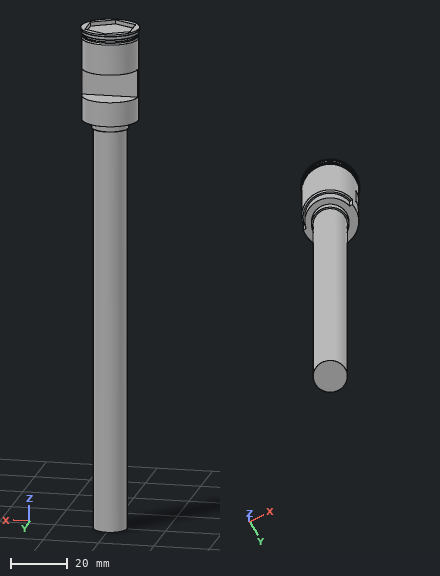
import cadquery as cq

total_length = 184.0
rim_radius = 10.5
body_radius = 10.1
shaft_radius = 6.0
shoulder_radius = 6.6
shoulder_height = 3.0

head_height = 33.9
head_bottom = total_length - head_height
relief_radius = 9.0
relief_height = 4.5
relief_edge_y = -1.8
rim_height = 0.7
neck_height = 1.3
groove_radius = 9.8
upper_groove_height = 0.2
collar_cone_height = 0.5
lower_groove_height = 0.5
body_chamfer_height = 0.5
relief_chamfer = 0.5

notch_bottom = head_bottom + 8.8
notch_height = 10.1
notch_floor_y = 0.7

hex_across_corners = 18.8
hex_depth = 1.5


def cylinder(radius, bottom, height):
    return cq.Workplane("XY").workplane(offset=bottom).circle(radius).extrude(height)


def rear_block(front_y, bottom, height):
    """Block behind the plane Y = front_y, wider than the head."""
    width = 3 * rim_radius
    return (
        cq.Workplane("XY")
        .box(width, width, height, centered=(True, False, False))
        .translate((0, front_y, bottom))
    )


shaft = cylinder(shaft_radius, 0, head_bottom)
shoulder = cylinder(shoulder_radius, head_bottom - shoulder_height, shoulder_height)

rim_bottom = total_length - rim_height
neck_bottom = rim_bottom - neck_height
collar_top = neck_bottom - upper_groove_height
collar_bottom = collar_top - collar_cone_height
body_top = collar_bottom - lower_groove_height
head_profile = [
    (0, head_bottom),
    (body_radius, head_bottom),
    (body_radius, body_top - body_chamfer_height),
    (groove_radius, body_top),
    (groove_radius, collar_bottom),
    (body_radius, collar_bottom),
    (groove_radius, collar_top),
    (groove_radius, neck_bottom),
    (body_radius, neck_bottom),
    (body_radius, rim_bottom),
    (rim_radius, rim_bottom),
    (rim_radius, total_length),
    (0, total_length),
]
head = cq.Workplane("XZ").polyline(head_profile).close().revolve(360, (0, 0, 0), (0, 1, 0))

relief_top = head_bottom + relief_height
relief_profile = [
    (relief_radius, head_bottom),
    (rim_radius, head_bottom),
    (rim_radius, relief_top + relief_chamfer),
    (body_radius, relief_top + relief_chamfer),
    (body_radius - relief_chamfer, relief_top),
    (relief_radius, relief_top),
]
relief = cq.Workplane("XZ").polyline(relief_profile).close().revolve(360, (0, 0, 0), (0, 1, 0))
relief = relief.cut(rear_block(relief_edge_y, head_bottom, relief_height + relief_chamfer))

notch = rear_block(notch_floor_y, notch_bottom, notch_height)

hex_recess = (
    cq.Workplane("XY")
    .workplane(offset=total_length - hex_depth)
    .polygon(6, hex_across_corners)
    .extrude(hex_depth)
    .rotate((0, 0, 0), (0, 0, 1), 90)
)

head = head.cut(relief).cut(notch).cut(hex_recess)
result = head.union(shoulder).union(shaft)